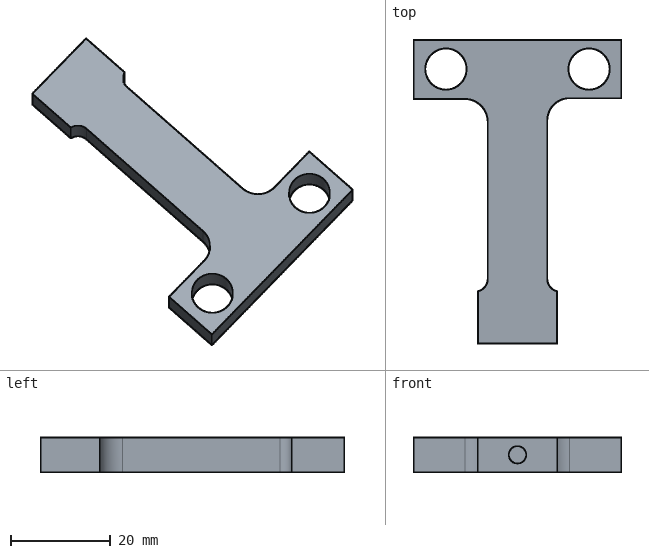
import cadquery as cq
import math

bar_width = 41.61
total_length = 60.93
thickness = 7.0

bar_depth_left = 11.87
bar_depth_right = 11.72
neck_width = 12.0
foot_width = 15.9
foot_length = 10.55

bar_corner_radius_left = 4.55
bar_corner_radius_right = 4.4
foot_corner_radius = 2.5

bar_hole_diameter = 8.22
bar_hole_spacing = 28.7
bar_hole_edge_distance = 5.85
foot_hole_diameter = 3.49
foot_hole_depth = foot_length

half_bar = bar_width / 2
half_neck = neck_width / 2
half_foot = foot_width / 2
foot_step = half_foot - half_neck
foot_corner_angle = math.acos((foot_corner_radius - foot_step) / foot_corner_radius)
foot_arc_rise = foot_corner_radius * math.sin(foot_corner_angle)
foot_arc_top = foot_length + foot_arc_rise


def foot_arc_middle(side):
    """Point halfway along the foot corner arc; side is -1 (left) or 1 (right)."""
    half_angle = foot_corner_angle / 2
    x = half_neck + foot_corner_radius * (1 - math.cos(half_angle))
    y = foot_arc_top - foot_corner_radius * math.sin(half_angle)
    return (side * x, y)


def bar_arc_middle(side, radius, bar_underside):
    """Point halfway along a quarter circle between the neck and the bar."""
    inset = radius * (1 - math.sqrt(0.5))
    return (side * (half_neck + inset), bar_underside - inset)


def make_body():
    """Flat T-shaped plate with its concave corners."""
    underside_left = total_length - bar_depth_left
    underside_right = total_length - bar_depth_right
    radius_left = bar_corner_radius_left
    radius_right = bar_corner_radius_right
    return (
        cq.Workplane("XY")
        .moveTo(-half_foot, 0)
        .lineTo(half_foot, 0)
        .lineTo(half_foot, foot_length)
        .threePointArc(foot_arc_middle(1), (half_neck, foot_arc_top))
        .lineTo(half_neck, underside_right - radius_right)
        .threePointArc(
            bar_arc_middle(1, radius_right, underside_right),
            (half_neck + radius_right, underside_right),
        )
        .lineTo(half_bar, underside_right)
        .lineTo(half_bar, total_length)
        .lineTo(-half_bar, total_length)
        .lineTo(-half_bar, underside_left)
        .lineTo(-half_neck - radius_left, underside_left)
        .threePointArc(
            bar_arc_middle(-1, radius_left, underside_left),
            (-half_neck, underside_left - radius_left),
        )
        .lineTo(-half_neck, foot_arc_top)
        .threePointArc(foot_arc_middle(-1), (-half_foot, foot_length))
        .close()
        .extrude(thickness)
    )


def make_bar_holes():
    """Two through holes near the ends of the crossbar."""
    hole_y = total_length - bar_hole_edge_distance
    hole_x = bar_hole_spacing / 2
    return (
        cq.Workplane("XY")
        .pushPoints([(-hole_x, hole_y), (hole_x, hole_y)])
        .circle(bar_hole_diameter / 2)
        .extrude(thickness)
    )


def make_foot_hole():
    """Blind hole along +Y from the middle of the foot's end face."""
    return (
        cq.Workplane("XZ")
        .center(0, thickness / 2)
        .circle(foot_hole_diameter / 2)
        .extrude(-foot_hole_depth)
    )


result = make_body().cut(make_bar_holes()).cut(make_foot_hole())